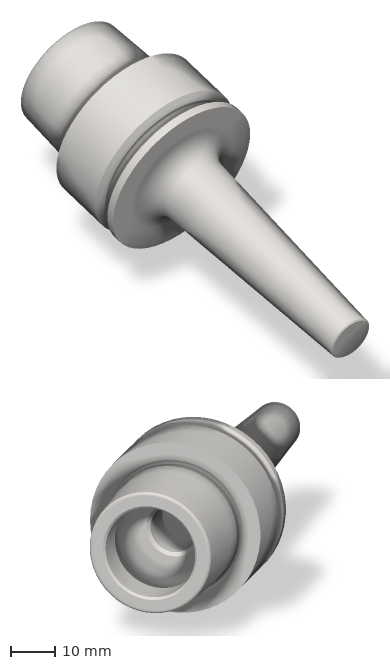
import cadquery as cq
import math


SHANK_LENGTH = 20.0
SHANK_END_RADIUS = 14.25
SHANK_TIP_FILLET = 0.7
TAPER_LENGTH = 17.8
TAPER_SLOPE = 0.05
NECK_RADIUS = 15.0
NECK_START = -1.25
FACE_RECESS_RADIUS = 16.0
FACE_RECESS_DEPTH = 0.15
NECK_FILLET = 0.5

FLANGE_RADIUS = 20.0
FLANGE_LENGTH = 20.0
GROOVE_CENTER = 15.95
GROOVE_MOUTH_WIDTH = 4.2
GROOVE_FLOOR_WIDTH = 1.8
GROOVE_FLOOR_RADIUS = 17.4
GROOVE_FLOOR_FILLET = 0.3
GROOVE_WALL_TOP_RADIUS = 18.25

NOSE_LENGTH = 60.0
NOSE_TIP_RADIUS = 5.5
NOSE_HALF_ANGLE = math.radians(3.0)
NOSE_ROOT_FILLET = 5.0
NOSE_TIP_CHAMFER = 0.3

BORE_RADIUS = 10.5
BORE_CHAMFER = 0.5
BORE_DEPTH = 7.75
CAVITY_RADIUS = 12.75
CAVITY_DEPTH = 18.3
CAVITY_FLOOR_FILLET = 3.0
SCREW_HOLE_RADIUS = 5.5
SCREW_HOLE_CHAMFER = 0.75
SCREW_HOLE_DEPTH = 10.0


def circle_point(center, radius, angle):
    """Point at the given angle on a circle in the contour plane."""
    return (center[0] + radius * math.cos(angle), center[1] + radius * math.sin(angle))


def outer_body():
    """Revolve the outside contour from the shank end to the nose tip."""
    shank_end = -SHANK_LENGTH
    taper_end = shank_end + TAPER_LENGTH
    taper_end_radius = SHANK_END_RADIUS + TAPER_SLOPE * TAPER_LENGTH
    tip_center = (shank_end + SHANK_TIP_FILLET, SHANK_END_RADIUS - SHANK_TIP_FILLET)

    neck_end = FACE_RECESS_DEPTH - NECK_FILLET
    neck_center = (neck_end, NECK_RADIUS + NECK_FILLET)

    mouth_start = GROOVE_CENTER - GROOVE_MOUTH_WIDTH / 2
    mouth_end = GROOVE_CENTER + GROOVE_MOUTH_WIDTH / 2
    floor_start = GROOVE_CENTER - GROOVE_FLOOR_WIDTH / 2
    floor_end = GROOVE_CENTER + GROOVE_FLOOR_WIDTH / 2
    corner_radius = GROOVE_FLOOR_RADIUS + GROOVE_FLOOR_FILLET
    first_corner = (floor_start + GROOVE_FLOOR_FILLET, corner_radius)
    second_corner = (floor_end - GROOVE_FLOOR_FILLET, corner_radius)

    nose_tip = FLANGE_LENGTH + NOSE_LENGTH
    slope = math.tan(NOSE_HALF_ANGLE)
    root_x = FLANGE_LENGTH + NOSE_ROOT_FILLET
    cone_radius_at_root = NOSE_TIP_RADIUS + (nose_tip - root_x) * slope
    root_center = (root_x, cone_radius_at_root + NOSE_ROOT_FILLET / math.cos(NOSE_HALF_ANGLE))
    cone_tangent_angle = -math.pi / 2 - NOSE_HALF_ANGLE
    middle_angle = (cone_tangent_angle - math.pi) / 2

    profile = (
        cq.Workplane("XY")
        .moveTo(shank_end, 0)
        .lineTo(shank_end, tip_center[1])
        .threePointArc(
            circle_point(tip_center, SHANK_TIP_FILLET, math.radians(135)),
            (tip_center[0], SHANK_END_RADIUS),
        )
        .lineTo(taper_end, taper_end_radius)
        .lineTo(NECK_START, NECK_RADIUS)
        .lineTo(neck_end, NECK_RADIUS)
        .threePointArc(
            circle_point(neck_center, NECK_FILLET, math.radians(-45)),
            (FACE_RECESS_DEPTH, neck_center[1]),
        )
        .lineTo(0, FACE_RECESS_RADIUS)
        .lineTo(0, FLANGE_RADIUS)
        .lineTo(mouth_start, FLANGE_RADIUS)
        .lineTo(floor_start, GROOVE_WALL_TOP_RADIUS)
        .lineTo(floor_start, corner_radius)
        .threePointArc(
            circle_point(first_corner, GROOVE_FLOOR_FILLET, math.radians(-135)),
            (first_corner[0], GROOVE_FLOOR_RADIUS),
        )
        .lineTo(second_corner[0], GROOVE_FLOOR_RADIUS)
        .threePointArc(
            circle_point(second_corner, GROOVE_FLOOR_FILLET, math.radians(-45)),
            (floor_end, corner_radius),
        )
        .lineTo(floor_end, GROOVE_WALL_TOP_RADIUS)
        .lineTo(mouth_end, FLANGE_RADIUS)
        .lineTo(FLANGE_LENGTH, FLANGE_RADIUS)
        .lineTo(FLANGE_LENGTH, root_center[1])
        .threePointArc(
            circle_point(root_center, NOSE_ROOT_FILLET, middle_angle),
            circle_point(root_center, NOSE_ROOT_FILLET, cone_tangent_angle),
        )
        .lineTo(nose_tip - NOSE_TIP_CHAMFER, NOSE_TIP_RADIUS + NOSE_TIP_CHAMFER * slope)
        .lineTo(nose_tip, NOSE_TIP_RADIUS - NOSE_TIP_CHAMFER)
        .lineTo(nose_tip, 0)
        .close()
    )
    return profile.revolve(360, (0, 0, 0), (1, 0, 0))


def stepped_bore():
    """Revolve the contour of the bore, from its mouth to the end of the screw hole."""
    mouth = -SHANK_LENGTH
    cavity_floor = mouth + CAVITY_DEPTH
    hole_end = cavity_floor + SCREW_HOLE_DEPTH
    fillet_center = (cavity_floor - CAVITY_FLOOR_FILLET, CAVITY_RADIUS - CAVITY_FLOOR_FILLET)
    profile = (
        cq.Workplane("XY")
        .moveTo(mouth, 0)
        .lineTo(mouth, BORE_RADIUS + BORE_CHAMFER)
        .lineTo(mouth + BORE_CHAMFER, BORE_RADIUS)
        .lineTo(mouth + BORE_DEPTH, BORE_RADIUS)
        .lineTo(mouth + BORE_DEPTH, CAVITY_RADIUS)
        .lineTo(fillet_center[0], CAVITY_RADIUS)
        .threePointArc(
            circle_point(fillet_center, CAVITY_FLOOR_FILLET, math.radians(45)),
            (cavity_floor, fillet_center[1]),
        )
        .lineTo(cavity_floor, SCREW_HOLE_RADIUS + SCREW_HOLE_CHAMFER)
        .lineTo(cavity_floor + SCREW_HOLE_CHAMFER, SCREW_HOLE_RADIUS)
        .lineTo(hole_end, SCREW_HOLE_RADIUS)
        .lineTo(hole_end, 0)
        .close()
    )
    return profile.revolve(360, (0, 0, 0), (1, 0, 0))


result = outer_body().cut(stepped_bore())